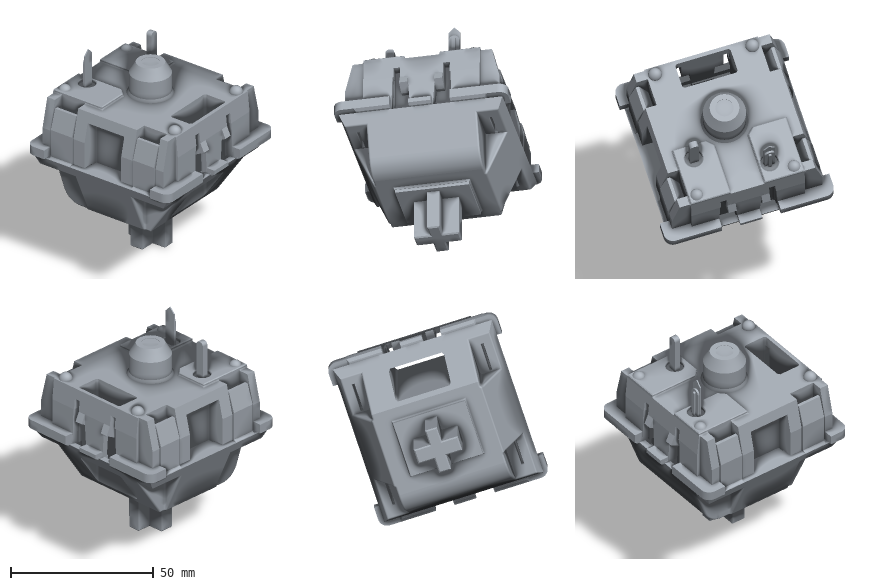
import cadquery as cq


TOLERANCE = 0.01
OVER = 44.65

FLANGE_SIZE = 62.4
FLANGE_CORNER_RADIUS = 3.3
FLANGE_BOTTOM = 0.71
FLANGE_TOP = 4.2
FLANGE_END_GAP_HALF = 23.3
FLANGE_SIDE_GAP_HALF = 10.85
TAB_HALF_WIDTH = 4.0
TAB_TOP = 2.3
FOOT_LENGTH = 60.1
FOOT_WIDTH = 46.1

HOUSING_TOP = 21.9
END_HALF_Y = 27.75
END_TOP_HALF_Y = 25.0
END_BEND_Z = 10.8
END_HALF_X = 26.55
SIDE_HALF_X = 27.8
SIDE_TOP_HALF_X = 27.0
SIDE_BEND_Z = 13.9
SIDE_HALF_Y = 20.9

RECESS_TOP = 18.0
END_RECESS_WIDTH = 16.15
END_RECESS_FILLET = 0.5
SIDE_SLOT_FLOOR_X = 23.9
SIDE_SLOT_STEP_X = 25.4
SIDE_SLOT_INNER_TOP_Y = 5.0
SIDE_SLOT_OUTER_Y = 10.1
SIDE_SLOT_FLARE_TOP_Y = 10.4
HOOK_INNER_Y = 4.75
HOOK_OUTER_Y = 7.75
HOOK_BOTTOM = 8.5
HOOK_TIP_X = 29.4
HOOK_TIP_Z = 10.6

CLIP_CENTER_X = 18.1
CLIP_WIDTH = 9.2
CLIP_SLOT_WIDTH = 10.3
CLIP_OUTER_Y = 28.05
CLIP_ROOT_Y = 29.0
CLIP_INNER_Y = 24.3
CLIP_TOP_OUTER_Y = 25.5
CLIP_BEND_Z = 11.3
CLIP_TOP = 18.8
BARB_TIP_Z = 11.15
BARB_BOTTOM = 5.95
CLIP_OPENING_INNER_Y = 23.3

POST_DIAMETER = 15.2
POST_TIP_DIAMETER = 10.4
POST_ROOT_DIAMETER = 16.8
POST_ROOT_HEIGHT = 1.05
POST_CONE_Z = 29.8
POST_TOP = 34.0
POST_DIMPLE_DIAMETER = 6.4
POST_DIMPLE_DEPTH = 0.15

PAD_TOP = 23.15
PAD_RIGHT_X = -5.2
PAD_INNER_Y = 5.95
PAD_OUTER_Y = 21.3
PAD_CORNER = 2.4
PAD_EDGE = 0.3
PAD_FOOT_HEIGHT = 0.45
PAD_FLARE = 0.4
WELL_DIAMETER = 6.4
WELL_CHAMFER = 0.3

BUMP_DIAMETER = 4.8
BUMP_Y = 17.9
BUMP_X = 24.2
LEFT_BUMP_CENTER_Z = 22.2

WINDOW_LEFT_X = 16.2
WINDOW_RIGHT_X = 25.6
WINDOW_LEDGE_X = 25.0
WINDOW_WIDTH = 20.4
WINDOW_CORNER = 0.7

COVER_BOTTOM = -20.75
COVER_TOP_HALF_X = 29.25
COVER_BOTTOM_LEFT_X = -21.4
COVER_BOTTOM_RIGHT_X = 14.9
COVER_TOP_HALF_Y = 29.4
COVER_BOTTOM_HALF_Y = 20.15
COVER_ROUND = 7.8
COVER_EDGE_FILLET = 0.7
NOTCH_X = 12.6
NOTCH_Y = 19.9
NOTCH_TOP = -4.25
NOTCH_FILLET = 0.75
RIM_BOTTOM = -21.5
RIM_LIP = 0.15
RIM_ROOT = 0.5
SLOT_POCKET_DEPTH = 3.0
SLOT_POCKET_OUTER_X = 26.8

SHOULDER_LENGTH = 20.3
SHOULDER_WIDTH = 26.55
SHOULDER_BOTTOM = -22.6
STEM_BOTTOM = -37.6
CROSS_SPAN = 16.2
CROSS_BAR_ALONG_X = 4.4
CROSS_BAR_ALONG_Y = 5.35
CROSS_CHAMFER = 0.45

TERMINAL_BOTTOM = 14.9
PIN_X = -10.7
PIN_Y = 14.8
PIN_THICKNESS = 2.2
PIN_WIDTH = 3.2
PIN_TOP = 36.1
PIN_TIP_RADIUS = 1.35
LEAF_Y = -10.1
LEAF_LEFT_X = -20.0
LEAF_THICKNESS = 0.45
LEAF_WIDTH = 4.2
LEAF_SHOULDER = 34.7
LEAF_TIP = 36.8
CONTACT_WIDTH = 3.7
CONTACT_THICKNESS = 0.75
CONTACT_TOP = 33.0
RIDGE_WIDTH = 1.2
RIDGE_THICKNESS = 0.75
RIDGE_TOP = 32.15
CONTACT_WELL_X = -20.2


def box(x_range, y_range, z_range):
    """Axis-aligned block between three pairs of limits."""
    size = [high - low for low, high in (x_range, y_range, z_range)]
    corner = (x_range[0], y_range[0], z_range[0])
    return cq.Workplane("XY").box(*size, centered=False).translate(corner)


def prism_along_y(points, y_low, y_high):
    """Extrude an outline of (x, z) points from y_low to y_high."""
    return cq.Workplane("XZ", origin=(0, y_low, 0)).polyline(points).close().extrude(y_low - y_high)


def prism_along_x(points, x_low, x_high):
    """Extrude an outline of (y, z) points from x_low to x_high."""
    return cq.Workplane("YZ", origin=(x_low, 0, 0)).polyline(points).close().extrude(x_high - x_low)


def both_x(body):
    """The body together with its mirror image across the YZ plane."""
    return body.union(body.mirror("YZ"))


def both_y(body):
    """The body together with its mirror image across the XZ plane."""
    return body.union(body.mirror("XZ"))



def housing_walls():
    end_points = [
        (-END_HALF_Y, FLANGE_BOTTOM), (END_HALF_Y, FLANGE_BOTTOM), (END_HALF_Y, END_BEND_Z),
        (END_TOP_HALF_Y, HOUSING_TOP), (-END_TOP_HALF_Y, HOUSING_TOP), (-END_HALF_Y, END_BEND_Z),
    ]
    side_points = [
        (-SIDE_HALF_X, FLANGE_BOTTOM), (SIDE_HALF_X, FLANGE_BOTTOM), (SIDE_HALF_X, SIDE_BEND_Z),
        (SIDE_TOP_HALF_X, HOUSING_TOP), (-SIDE_TOP_HALF_X, HOUSING_TOP), (-SIDE_HALF_X, SIDE_BEND_Z),
    ]
    ends = prism_along_x(end_points, -END_HALF_X, END_HALF_X)
    sides = prism_along_y(side_points, -SIDE_HALF_Y, SIDE_HALF_Y)
    return ends.union(sides)


def flange():
    plate = (
        cq.Workplane("XY", origin=(0, 0, FLANGE_BOTTOM))
        .rect(FLANGE_SIZE, FLANGE_SIZE)
        .extrude(FLANGE_TOP - FLANGE_BOTTOM)
        .edges("|Z").fillet(FLANGE_CORNER_RADIUS)
    )
    heights = (0, FLANGE_TOP)
    end_gap = box((-FLANGE_END_GAP_HALF, FLANGE_END_GAP_HALF), (END_HALF_Y, OVER), heights)
    side_gap = box((SIDE_HALF_X, OVER), (-FLANGE_SIDE_GAP_HALF, FLANGE_SIDE_GAP_HALF), heights)
    half_size = FLANGE_SIZE / 2
    tabs = box((-half_size, half_size), (-TAB_HALF_WIDTH, TAB_HALF_WIDTH), (FLANGE_BOTTOM, TAB_TOP))
    foot = (
        cq.Workplane("XY")
        .rect(FOOT_LENGTH, FOOT_WIDTH)
        .workplane(offset=FLANGE_BOTTOM)
        .rect(FLANGE_SIZE, FOOT_WIDTH + 2 * FLANGE_BOTTOM)
        .loft(ruled=True)
    )
    return plate.cut(both_y(end_gap)).cut(both_x(side_gap)).union(tabs).union(foot)


def end_recesses():
    """Square-topped recess in the middle of the -Y and +Y walls, down to the cover."""
    half_width = END_RECESS_WIDTH / 2
    recess = box((-half_width, half_width), (SIDE_HALF_Y, OVER), (0, RECESS_TOP))
    return both_y(recess.edges("|Z and <Y").fillet(END_RECESS_FILLET))


def clip_slots():
    half_width = CLIP_SLOT_WIDTH / 2
    x_range = (CLIP_CENTER_X - half_width, CLIP_CENTER_X + half_width)
    slot = box(x_range, (SIDE_HALF_Y, OVER), (FLANGE_BOTTOM, OVER))
    return both_x(both_y(slot))


def side_slots():
    """Four slots in the -X and +X walls, two beside each tab, that widen downward near the surface."""
    deep_points = [
        (TAB_HALF_WIDTH, 0), (SIDE_SLOT_INNER_TOP_Y, SIDE_BEND_Z), (SIDE_SLOT_INNER_TOP_Y, RECESS_TOP),
        (SIDE_SLOT_OUTER_Y, RECESS_TOP), (SIDE_SLOT_OUTER_Y, 0),
    ]
    flared_points = [
        (TAB_HALF_WIDTH, 0), (SIDE_SLOT_INNER_TOP_Y, SIDE_BEND_Z), (SIDE_SLOT_FLARE_TOP_Y, SIDE_BEND_Z),
        (FLANGE_SIDE_GAP_HALF, 0),
    ]
    deep = prism_along_x(deep_points, SIDE_SLOT_FLOOR_X, OVER)
    flared = prism_along_x(flared_points, SIDE_SLOT_STEP_X, OVER)
    return both_x(both_y(deep.union(flared)))


def hooks():
    """Wedge hooks that hang over the inner part of each side slot."""
    rise = RECESS_TOP - SIDE_BEND_Z
    slope = (SIDE_HALF_X - SIDE_TOP_HALF_X) / (HOUSING_TOP - SIDE_BEND_Z)
    points = [
        (SIDE_SLOT_FLOOR_X, HOOK_BOTTOM), (SIDE_SLOT_STEP_X, HOOK_BOTTOM), (HOOK_TIP_X, HOOK_TIP_Z),
        (SIDE_HALF_X, SIDE_BEND_Z), (SIDE_HALF_X - slope * rise, RECESS_TOP),
        (SIDE_SLOT_FLOOR_X, RECESS_TOP),
    ]
    return both_x(both_y(prism_along_y(points, HOOK_INNER_Y, HOOK_OUTER_Y)))


def center_post():
    radius = POST_DIAMETER / 2
    points = [
        (0, HOUSING_TOP), (POST_ROOT_DIAMETER / 2, HOUSING_TOP), (radius, HOUSING_TOP + POST_ROOT_HEIGHT),
        (radius, POST_CONE_Z), (POST_TIP_DIAMETER / 2, POST_TOP), (0, POST_TOP),
    ]
    post = cq.Workplane("XZ").polyline(points).close().revolve(360, (0, 0), (0, 1))
    return post.faces(">Z").workplane().hole(POST_DIMPLE_DIAMETER, POST_DIMPLE_DEPTH)


def pad_outline(inset):
    """Corner points of a pad; the inset leaves the edge along the -X wall in place."""
    inner_y = PAD_INNER_Y + inset
    outer_y = PAD_OUTER_Y - inset
    right_x = PAD_RIGHT_X - inset
    return [
        (-SIDE_TOP_HALF_X, inner_y), (right_x - PAD_CORNER, inner_y), (right_x, inner_y + PAD_CORNER),
        (right_x, outer_y), (-SIDE_TOP_HALF_X, outer_y),
    ]


def pads():
    """Raised plates around the terminals, each with a flared foot."""
    foot = (
        cq.Workplane("XY", origin=(0, 0, HOUSING_TOP))
        .polyline(pad_outline(0)).close()
        .workplane(offset=PAD_FOOT_HEIGHT)
        .polyline(pad_outline(PAD_FLARE)).close()
        .loft(ruled=True)
    )
    plate = (
        cq.Workplane("XY", origin=(0, 0, HOUSING_TOP + PAD_FOOT_HEIGHT))
        .polyline(pad_outline(PAD_FLARE)).close()
        .extrude(PAD_TOP - HOUSING_TOP - PAD_FOOT_HEIGHT)
        .faces(">Z").edges().chamfer(PAD_EDGE)
    )
    return both_y(foot.union(plate))


def terminal_well(x, y):
    """Chamfered round well in a pad, down to the housing top."""
    well = (
        cq.Workplane("XY", origin=(x, y, HOUSING_TOP))
        .circle(WELL_DIAMETER / 2)
        .extrude(PAD_TOP - HOUSING_TOP)
    )
    mouth = (
        cq.Workplane("XY", origin=(x, y, PAD_TOP - WELL_CHAMFER))
        .circle(WELL_DIAMETER / 2)
        .workplane(offset=WELL_CHAMFER)
        .circle(WELL_DIAMETER / 2 + WELL_CHAMFER)
        .loft()
    )
    return well.union(mouth)


def bumps():
    right = cq.Workplane("XY").sphere(BUMP_DIAMETER / 2).translate((BUMP_X, BUMP_Y, HOUSING_TOP))
    left = cq.Workplane("XY").sphere(BUMP_DIAMETER / 2).translate((-BUMP_X, BUMP_Y, LEFT_BUMP_CENTER_Z))
    return both_y(right.union(left))


def window():
    """Lamp opening through housing and cover; the cover leaves a ledge along its +X side."""
    y_range = (-WINDOW_WIDTH / 2, WINDOW_WIDTH / 2)
    upper = box((WINDOW_LEFT_X, WINDOW_RIGHT_X), y_range, (0, OVER))
    lower = box((WINDOW_LEFT_X, WINDOW_LEDGE_X), y_range, (-OVER, 0))
    return upper.edges("|Z").chamfer(WINDOW_CORNER).union(lower.edges("|Z").chamfer(WINDOW_CORNER))


def make_housing(inserts):
    housing = housing_walls().union(flange()).union(pads())
    for recess in (end_recesses(), clip_slots(), side_slots()):
        housing = housing.cut(recess)
    housing = housing.union(hooks()).union(bumps()).union(center_post()).cut(window())
    for x, y in ((PIN_X, PIN_Y), (CONTACT_WELL_X, LEAF_Y)):
        housing = housing.cut(terminal_well(x, y))
    for insert in inserts:
        housing = housing.cut(insert)
    return housing



def cover_shell():
    """Tapered cover with notched lower corners and a large round along its -X lower edge."""
    front_points = [
        (-COVER_TOP_HALF_X, 0), (COVER_BOTTOM_LEFT_X, COVER_BOTTOM),
        (COVER_BOTTOM_RIGHT_X, COVER_BOTTOM), (COVER_TOP_HALF_X, 0),
    ]
    side_points = [
        (-COVER_TOP_HALF_Y, 0), (-COVER_BOTTOM_HALF_Y, COVER_BOTTOM),
        (COVER_BOTTOM_HALF_Y, COVER_BOTTOM), (COVER_TOP_HALF_Y, 0),
    ]
    across = prism_along_y(front_points, -OVER, OVER)
    across = across.faces("<Z").edges("<X").fillet(COVER_ROUND)
    along = prism_along_x(side_points, -OVER, OVER)
    notch = box((NOTCH_X, OVER), (NOTCH_Y, OVER), (-OVER, NOTCH_TOP))
    notch = notch.edges("|Z and <X and <Y").fillet(NOTCH_FILLET)
    return across.intersect(along).cut(both_x(both_y(notch)))


def touches(value, target):
    """Whether a coordinate lies on the given plane, on either side of the centre."""
    return abs(abs(value) - abs(target)) < TOLERANCE


def is_notch_face_edge(center):
    """Outer edges of the notch faces that look along Y."""
    return touches(center.y, NOTCH_Y) and abs(center.x) > NOTCH_X and center.z < NOTCH_TOP - TOLERANCE


def is_notch_wall_edge(center):
    """Outer edges of the notch walls that look along X."""
    on_wall = touches(center.x, NOTCH_X) and abs(center.y) > NOTCH_Y + NOTCH_FILLET
    return on_wall and center.z < NOTCH_TOP - TOLERANCE


def is_notch_roof_edge(center):
    """Edges where the notch roofs meet the outer slopes."""
    far_out = abs(center.x) > NOTCH_X + NOTCH_FILLET and abs(center.y) > NOTCH_Y + NOTCH_FILLET
    return touches(center.z, NOTCH_TOP) and far_out


def soften_notches(shell):
    for is_chosen in (is_notch_face_edge, is_notch_wall_edge, is_notch_roof_edge):
        chosen = [edge for edge in shell.edges().vals() if is_chosen(edge.Center())]
        shell = shell.newObject(chosen).fillet(COVER_EDGE_FILLET)
    return shell


def clips():
    points = [
        (CLIP_INNER_Y, 0), (CLIP_ROOT_Y, 0), (CLIP_OUTER_Y, FLANGE_BOTTOM), (CLIP_OUTER_Y, CLIP_BEND_Z),
        (CLIP_TOP_OUTER_Y, CLIP_TOP), (CLIP_INNER_Y, CLIP_TOP), (SIDE_HALF_Y, BARB_TIP_Z),
        (CLIP_INNER_Y, BARB_BOTTOM),
    ]
    half_width = CLIP_WIDTH / 2
    clip = prism_along_x(points, CLIP_CENTER_X - half_width, CLIP_CENTER_X + half_width)
    return both_x(both_y(clip))


def clip_openings():
    """Slits through the cover just inside each clip."""
    half_width = CLIP_SLOT_WIDTH / 2
    x_range = (CLIP_CENTER_X - half_width, CLIP_CENTER_X + half_width)
    return both_x(both_y(box(x_range, (CLIP_OPENING_INNER_Y, CLIP_INNER_Y), (NOTCH_TOP, 0))))


def slot_pockets():
    """Pockets in the cover's top face that carry on the housing's side slots."""
    x_range = (SIDE_SLOT_FLOOR_X, SLOT_POCKET_OUTER_X)
    y_range = (TAB_HALF_WIDTH, FLANGE_SIDE_GAP_HALF)
    return both_x(both_y(box(x_range, y_range, (-SLOT_POCKET_DEPTH, 0))))


def make_cover(stem):
    rim = (
        cq.Workplane("XY", origin=(0, 0, RIM_BOTTOM))
        .rect(SHOULDER_LENGTH + 2 * RIM_LIP, SHOULDER_WIDTH + 2 * RIM_LIP)
        .workplane(offset=COVER_BOTTOM - RIM_BOTTOM)
        .rect(SHOULDER_LENGTH + 2 * RIM_ROOT, SHOULDER_WIDTH + 2 * RIM_ROOT)
        .loft(ruled=True)
    )
    cover = soften_notches(cover_shell()).cut(clip_openings()).cut(slot_pockets())
    return cover.union(clips()).union(rim).cut(window()).cut(stem)



def make_stem():
    """Block that fills the cover opening, with the keycap cross below it."""
    shoulder = (
        cq.Workplane("XY", origin=(0, 0, SHOULDER_BOTTOM))
        .rect(SHOULDER_LENGTH, SHOULDER_WIDTH)
        .extrude(-SHOULDER_BOTTOM)
    )
    cross_height = SHOULDER_BOTTOM - STEM_BOTTOM
    base = cq.Workplane("XY", origin=(0, 0, STEM_BOTTOM))
    bar_x = base.rect(CROSS_SPAN, CROSS_BAR_ALONG_X).extrude(cross_height)
    bar_y = base.rect(CROSS_BAR_ALONG_Y, CROSS_SPAN).extrude(cross_height)
    cross = bar_x.union(bar_y).faces("<Z").edges().chamfer(CROSS_CHAMFER)
    return shoulder.union(cross)


def make_pin():
    """Plain terminal blade with a rounded tip."""
    blade = box(
        (PIN_X - PIN_THICKNESS / 2, PIN_X + PIN_THICKNESS / 2),
        (PIN_Y - PIN_WIDTH / 2, PIN_Y + PIN_WIDTH / 2),
        (TERMINAL_BOTTOM, PIN_TOP),
    )
    return blade.faces(">Z").edges("|X").fillet(PIN_TIP_RADIUS)


def make_leaf():
    """Thin spring sheet with a pointed tip."""
    half_width = LEAF_WIDTH / 2
    points = [
        (LEAF_Y - half_width, TERMINAL_BOTTOM), (LEAF_Y + half_width, TERMINAL_BOTTOM),
        (LEAF_Y + half_width, LEAF_SHOULDER), (LEAF_Y, LEAF_TIP), (LEAF_Y - half_width, LEAF_SHOULDER),
    ]
    return prism_along_x(points, LEAF_LEFT_X, LEAF_LEFT_X + LEAF_THICKNESS)


def round_top_strip(right_x, thickness, width, top):
    """Upright strip with a half-round top, reaching left from right_x."""
    half_width = width / 2
    spring_z = top - half_width
    return (
        cq.Workplane("YZ", origin=(right_x, LEAF_Y, 0))
        .moveTo(-half_width, TERMINAL_BOTTOM)
        .lineTo(half_width, TERMINAL_BOTTOM)
        .lineTo(half_width, spring_z)
        .threePointArc((0, top), (-half_width, spring_z))
        .close()
        .extrude(-thickness)
    )


def make_contact():
    """Ridged terminal that lies against the leaf."""
    strip = round_top_strip(LEAF_LEFT_X, CONTACT_THICKNESS, CONTACT_WIDTH, CONTACT_TOP)
    ridge = round_top_strip(LEAF_LEFT_X - CONTACT_THICKNESS, RIDGE_THICKNESS, RIDGE_WIDTH, RIDGE_TOP)
    return strip.union(ridge)


pin = make_pin()
leaf = make_leaf()
contact = make_contact()
stem = make_stem()
housing = make_housing([pin, leaf, contact])
cover = make_cover(stem)

bodies = (housing, cover, stem, pin, leaf, contact)
result = cq.Compound.makeCompound([body.solids().val() for body in bodies])